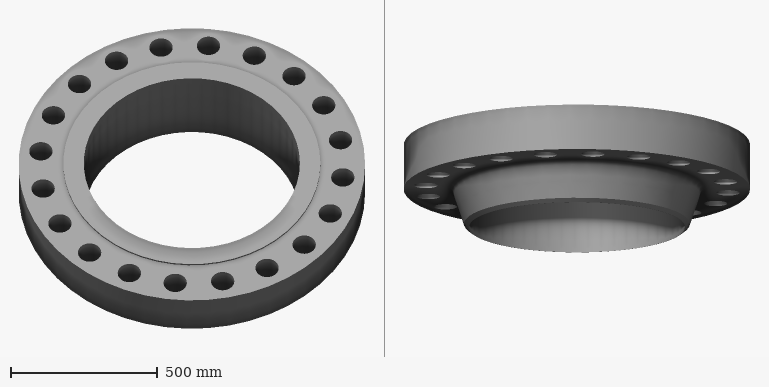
import cadquery as cq
import math

INCH = 25.4

flange_diameter = 46.5 * INCH
flange_thickness = 6.125 * INCH

raised_face_diameter = 34.5 * INCH
raised_face_height = 0.25 * INCH

total_height = 11.625 * INCH
hub_base_diameter = 33.5 * INCH
hub_end_diameter = 30.3125 * INCH
hub_fillet_radius = 0.75 * INCH

weld_land_width = 1.6
weld_bevel_angle = 37.5

bore_diameter = 29.0 * INCH
bolt_circle_diameter = 40.75 * INCH
bolt_hole_diameter = 3.125 * INCH
bolt_count = 20

level_tolerance = 1.0

flange_top = total_height - raised_face_height
flange_bottom = flange_top - flange_thickness

weld_land_radius = bore_diameter / 2 + weld_land_width
weld_bevel_width = hub_end_diameter / 2 - weld_land_radius
weld_bevel_height = weld_bevel_width * math.tan(math.radians(weld_bevel_angle))


def make_body():
    """Revolve the ring, raised face and bevelled hub around the bore."""
    bore_radius = bore_diameter / 2
    flange_radius = flange_diameter / 2
    raised_face_radius = raised_face_diameter / 2
    profile = (
        cq.Workplane("XZ")
        .moveTo(bore_radius, 0)
        .lineTo(weld_land_radius, 0)
        .lineTo(hub_end_diameter / 2, weld_bevel_height)
        .lineTo(hub_base_diameter / 2, flange_bottom)
        .lineTo(flange_radius, flange_bottom)
        .lineTo(flange_radius, flange_top)
        .lineTo(raised_face_radius, flange_top)
        .lineTo(raised_face_radius, total_height)
        .lineTo(bore_radius, total_height)
        .close()
    )
    return profile.revolve(360, (0, 0, 0), (0, 1, 0))


def round_hub_base(body):
    """Fillet the inside corner where the hub meets the underside of the ring."""
    half_width = flange_diameter / 2
    underside_level = cq.selectors.BoxSelector(
        (-half_width, -half_width, flange_bottom - level_tolerance),
        (half_width, half_width, flange_bottom + level_tolerance),
    )
    smallest_circle = cq.selectors.RadiusNthSelector(0)
    hub_corner = body.edges("%CIRCLE").edges(underside_level).edges(smallest_circle)
    return hub_corner.fillet(hub_fillet_radius)


def cut_bolt_holes(body):
    """Drill the ring of bolt holes, the first one centred on the +X axis."""
    return (
        body.faces(">Z")
        .workplane(origin=(0, 0, total_height))
        .polarArray(bolt_circle_diameter / 2, 0, 360, bolt_count)
        .hole(bolt_hole_diameter)
    )


flange = make_body()
flange = round_hub_base(flange)
result = cut_bolt_holes(flange)